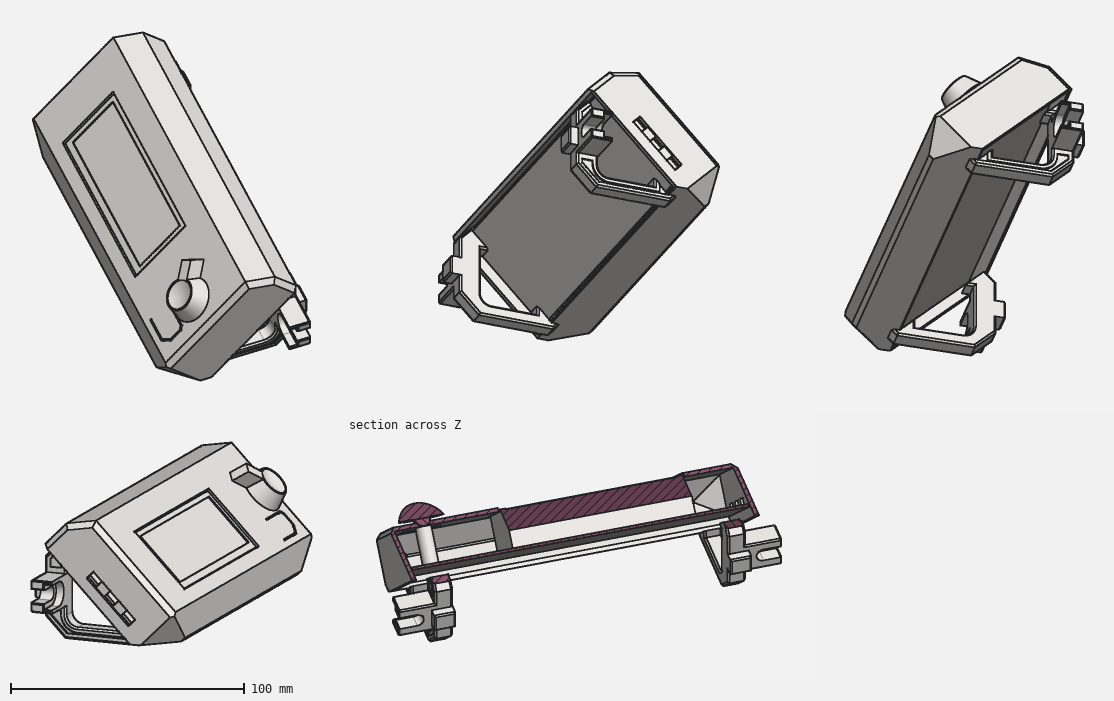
import cadquery as cq
import math

TILT = 45
ROOT2 = math.sqrt(2)

HOUSING_WIDTH = 155.1
FACE_W = 25.5
BACK_TOP_V = 56.8
SHOULDER_W = 14.0
CREST_V = 48.9
FRONT_REACH = 20.3
TOE_BEVEL = 1.9
WALL = 2.0
RIM_BEVEL_X = 2.2
RIM_BEVEL_DEPTH = 2.5
CORNER_START_V = -3.6
CORNER_CUT_X = 13.2
CORNER_CUT_V = 9.7

WINDOW_LEFT = -53.9
WINDOW_RIGHT = 28.7
WINDOW_BOTTOM_V = 3.5
WINDOW_TOP_V = 36.5
DISPLAY_SETBACK = 0.9
DISPLAY_CLEARANCE = 0.5
GLASS_BORDER_X = 3.0
GLASS_BOTTOM_BORDER = 4.0
GLASS_TOP_BORDER = 2.9
GLASS_DEPTH = 0.5

BOARD_WIDTH = 150.1
BOARD_BOTTOM_V = 2.5
BOARD_TOP_V = 53
BOARD_FRONT_W = 6.2
BOARD_THICKNESS = 1.5

CARD_LOW_V = 6.2
CARD_LENGTH = 27.4
CARD_LOW_W = 5.1
CARD_HEIGHT = 4.5
CARD_SETBACK = 0.9
CARD_PARTS = 5

TONGUE_LEFT = 52.0
TONGUE_RIGHT = 68.5
TONGUE_BOTTOM_V = 0
TONGUE_TOP_V = 12.3
TONGUE_LOW_BEVEL = 3.8
TONGUE_HIGH_BEVEL = 1.5
SLIT = 0.7

KNOB_X = 62.0
KNOB_V = 22.9
KNOB_GAP = 1.7
KNOB_HEIGHT = 7.9
KNOB_BASE_D = 20.0
KNOB_TOP_D = 14.4
DISH_D = 13.0
DISH_DEPTH = 1.4
POINTER_ANGLE = 135
POINTER_WIDTH = 5.1
POINTER_BASE_LENGTH = 18.0
POINTER_TOP_LENGTH = 15.4
ENCODER_D = 7.0

BRACKET_INNER_X = 61.4
BRACKET_WIDTH = 8.0
BRACKET_BACK_Y = 42.8
POST_DEPTH = 9.7
FOOT_Z = -2.5
FOOT_THICKNESS = 5.5
FOOT_BEVEL = 9.2
TOE_Y = -3.5
INNER_CORNER_R = 5.1
INNER_TOE_Y = 6.8
INNER_TOP_Z = 29.4
POST_TOP_Z = 33.0
BRACKET_BEVEL = 0.9
PANEL_BORDER = 2.4
PANEL_DEPTH = 0.7
TUCK = 5.1
ARM_TIP_X = 85.5
ARM_Z = 19.0
ARM_HEIGHT = 14.2
ARM_BEVEL = 0.7
TIP_BEVEL = 0.5
SLOT_WIDTH = 6.0
HEAD_SLOT_WIDTH = 11.0
HEAD_SLOT_DEPTH = 3.6
SLOT_END_X = 77.3
KEY_WIDTH = 9.4
KEY_HEIGHT = 8.4
KEY_END_Y = 47.0

HALF_WIDTH = HOUSING_WIDTH / 2
KNOB_BASE_W = FACE_W + KNOB_GAP
DISPLAY_FRONT_W = FACE_W - DISPLAY_SETBACK
BRACKET_OUTER_X = BRACKET_INNER_X + BRACKET_WIDTH
POST_FRONT_Y = BRACKET_BACK_Y - POST_DEPTH


def to_tilted(y, z):
    """Place of an upright (y, z) point in the (v, w) plane of the tilted frame."""
    return (y + z) / ROOT2, (z - y) / ROOT2


def stand_up(body):
    """Turn a body from the tilted frame to its upright place."""
    return body.rotate((0, 0, 0), (1, 0, 0), TILT)


def slab(x0, x1, v0, v1, w0, w1):
    """Rectangular block between the given limits."""
    return cq.Workplane("XY").box(x1 - x0, v1 - v0, w1 - w0, centered=False).translate((x0, v0, w0))


def housing_profile():
    """Closed side outline of the housing in the (v, w) plane."""
    return cq.Workplane("YZ").polyline([
        (0, 0),
        (BACK_TOP_V, 0),
        (BACK_TOP_V, SHOULDER_W),
        (CREST_V, FACE_W),
        (FACE_W - FRONT_REACH * ROOT2, FACE_W),
        to_tilted(-FRONT_REACH, TOE_BEVEL),
        to_tilted(TOE_BEVEL - FRONT_REACH, 0),
    ]).close()


def cut_corners(block, inset):
    """Cut both bottom corners along planes square to the sloping face, moved in by inset."""
    cut_length = math.hypot(CORNER_CUT_X, CORNER_CUT_V)
    shift_x = inset * CORNER_CUT_V / cut_length
    shift_v = inset * CORNER_CUT_X / cut_length
    x0 = HALF_WIDTH - shift_x
    v0 = CORNER_START_V + shift_v
    wedge = (
        cq.Workplane("XY")
        .polyline([
            (x0 + CORNER_CUT_X, v0 + CORNER_CUT_V),
            (x0 - 2 * CORNER_CUT_X, v0 - 2 * CORNER_CUT_V),
            (x0 + CORNER_CUT_X, v0 - 2 * CORNER_CUT_V),
        ])
        .close()
        .extrude(FACE_W)
    )
    return block.cut(wedge).cut(wedge.mirror("YZ"))


def rim_wedge(v, w, slope):
    """Bevel cutter for the right rim of the outer face through (v, w), tipped from the face by slope."""
    return (
        cq.Workplane("XZ")
        .polyline([
            (HALF_WIDTH, 0),
            (HALF_WIDTH - RIM_BEVEL_X, 0),
            (HALF_WIDTH, -RIM_BEVEL_DEPTH),
        ])
        .close()
        .extrude(2 * BACK_TOP_V, both=True)
        .rotate((0, 0, 0), (1, 0, 0), -slope)
        .translate((0, v, w))
    )


def outer_block():
    """Solid outside shape with bevelled side rims and cut bottom corners."""
    block = housing_profile().extrude(HALF_WIDTH, both=True)
    crest_slope = math.degrees(math.atan2(FACE_W - SHOULDER_W, BACK_TOP_V - CREST_V))
    rim_faces = [
        (CREST_V, FACE_W, 0),
        (CREST_V, FACE_W, crest_slope),
        (BACK_TOP_V, SHOULDER_W, 90),
    ]
    for v, w, slope in rim_faces:
        wedge = rim_wedge(v, w, slope)
        block = block.cut(wedge).cut(wedge.mirror("YZ"))
    return cut_corners(block, 0)


def cavity():
    """Inside space, one wall thickness in from the outside and open at the back."""
    space = housing_profile().offset2D(-WALL).extrude(HALF_WIDTH - WALL, both=True)
    back_opening = slab(
        WALL - HALF_WIDTH, HALF_WIDTH - WALL,
        WALL * (ROOT2 - 1), BACK_TOP_V - WALL,
        0, WALL,
    )
    return cut_corners(space, WALL).union(back_opening)


def window():
    """Display opening through the sloping face."""
    return slab(WINDOW_LEFT, WINDOW_RIGHT, WINDOW_BOTTOM_V, WINDOW_TOP_V, FACE_W - WALL, FACE_W)


def card_opening():
    """Shallow side recess with through openings between set-back ribs."""
    outside = -HALF_WIDTH
    top_w = CARD_LOW_W + CARD_HEIGHT
    part = CARD_LENGTH / CARD_PARTS
    cutter = slab(
        outside, outside + CARD_SETBACK,
        CARD_LOW_V, CARD_LOW_V + CARD_LENGTH,
        CARD_LOW_W, top_w,
    )
    for index in range(0, CARD_PARTS, 2):
        v0 = CARD_LOW_V + index * part
        cutter = cutter.union(slab(outside, outside + WALL, v0, v0 + part, CARD_LOW_W, top_w))
    return cutter


def tongue_area(inset):
    """Plate filling the tongue outline, moved in by inset on the three slit sides."""
    right = TONGUE_RIGHT - inset
    low = TONGUE_BOTTOM_V + inset
    high = TONGUE_TOP_V - inset
    return (
        cq.Workplane("XY")
        .workplane(offset=FACE_W - WALL)
        .polyline([
            (TONGUE_LEFT, low),
            (right - TONGUE_LOW_BEVEL, low),
            (right, low + TONGUE_LOW_BEVEL),
            (right, high - TONGUE_HIGH_BEVEL),
            (right - TONGUE_HIGH_BEVEL, high),
            (TONGUE_LEFT, high),
        ])
        .close()
        .extrude(WALL)
    )


def encoder_hole():
    """Round hole through the face for the encoder collar."""
    return (
        cq.Workplane("XY")
        .workplane(offset=FACE_W - WALL)
        .center(KNOB_X, KNOB_V)
        .circle(ENCODER_D / 2)
        .extrude(WALL)
    )


def make_housing():
    slit = tongue_area(0).cut(tongue_area(SLIT))
    shell = outer_block().cut(cavity()).cut(window()).cut(card_opening())
    return stand_up(shell.cut(slit).cut(encoder_hole()))


def make_board():
    return stand_up(slab(
        -BOARD_WIDTH / 2, BOARD_WIDTH / 2,
        BOARD_BOTTOM_V, BOARD_TOP_V,
        BOARD_FRONT_W - BOARD_THICKNESS, BOARD_FRONT_W,
    ))


def make_display():
    """Block from the board up into the window, with a sunken glass."""
    left = WINDOW_LEFT + DISPLAY_CLEARANCE
    right = WINDOW_RIGHT - DISPLAY_CLEARANCE
    bottom = WINDOW_BOTTOM_V + DISPLAY_CLEARANCE
    top = WINDOW_TOP_V - DISPLAY_CLEARANCE
    block = slab(left, right, bottom, top, BOARD_FRONT_W, DISPLAY_FRONT_W)
    glass = slab(
        WINDOW_LEFT + GLASS_BORDER_X, WINDOW_RIGHT - GLASS_BORDER_X,
        WINDOW_BOTTOM_V + GLASS_BOTTOM_BORDER, WINDOW_TOP_V - GLASS_TOP_BORDER,
        DISPLAY_FRONT_W - GLASS_DEPTH, DISPLAY_FRONT_W,
    )
    return stand_up(block.cut(glass))


def make_encoder():
    """Round collar from the board, through the face, up to the knob."""
    collar = (
        cq.Workplane("XY")
        .workplane(offset=BOARD_FRONT_W)
        .center(KNOB_X, KNOB_V)
        .circle(ENCODER_D / 2)
        .extrude(KNOB_BASE_W - BOARD_FRONT_W)
    )
    return stand_up(collar)


def make_knob():
    """Tapered knob with a dished top and a pointer that leans back at its tip."""
    dish_sphere_radius = ((DISH_D / 2) ** 2 + DISH_DEPTH ** 2) / (2 * DISH_DEPTH)
    cone = (
        cq.Workplane("XY")
        .circle(KNOB_BASE_D / 2)
        .workplane(offset=KNOB_HEIGHT)
        .circle(KNOB_TOP_D / 2)
        .loft()
    )
    pointer = (
        cq.Workplane("XZ")
        .polyline([(0, 0), (POINTER_BASE_LENGTH, 0), (POINTER_TOP_LENGTH, KNOB_HEIGHT), (0, KNOB_HEIGHT)])
        .close()
        .extrude(POINTER_WIDTH / 2, both=True)
        .rotate((0, 0, 0), (0, 0, 1), POINTER_ANGLE)
    )
    dish = (
        cq.Workplane("XY")
        .sphere(dish_sphere_radius)
        .rotate((0, 0, 0), (1, 0, 0), 90)
        .translate((0, 0, KNOB_HEIGHT - DISH_DEPTH + dish_sphere_radius))
    )
    knob = cone.union(pointer).cut(dish)
    return stand_up(knob.translate((KNOB_X, KNOB_V, KNOB_BASE_W)))


def frame_outline(x):
    """Closed C-shaped outline at the given x; both ends run on past the back of the housing."""
    foot_top = FOOT_Z + FOOT_THICKNESS
    arc_offset = INNER_CORNER_R * (1 - 1 / ROOT2)
    top_meeting = (BRACKET_BACK_Y + POST_TOP_Z) / 2
    return (
        cq.Workplane("YZ")
        .workplane(offset=x)
        .moveTo(TOE_Y - TUCK, TUCK)
        .lineTo(TOE_Y - FOOT_Z, FOOT_Z)
        .lineTo(BRACKET_BACK_Y - FOOT_BEVEL, FOOT_Z)
        .lineTo(BRACKET_BACK_Y, FOOT_Z + FOOT_BEVEL)
        .lineTo(BRACKET_BACK_Y, POST_TOP_Z)
        .lineTo(top_meeting - TUCK, top_meeting + TUCK)
        .lineTo(INNER_TOP_Z - TUCK, INNER_TOP_Z)
        .lineTo(POST_FRONT_Y, INNER_TOP_Z)
        .lineTo(POST_FRONT_Y, foot_top + INNER_CORNER_R)
        .threePointArc(
            (POST_FRONT_Y - arc_offset, foot_top + arc_offset),
            (POST_FRONT_Y - INNER_CORNER_R, foot_top),
        )
        .lineTo(INNER_TOE_Y, foot_top)
        .lineTo(INNER_TOE_Y, INNER_TOE_Y + TUCK)
        .close()
    )


def frame_panels():
    """Shallow recesses in the outer side of the frame, one border in from its edges and the arms."""
    reach = ARM_HEIGHT / 2 + PANEL_BORDER
    floor_x = BRACKET_OUTER_X - PANEL_DEPTH
    recess = frame_outline(floor_x).offset2D(-PANEL_BORDER, "intersection").extrude(PANEL_DEPTH)
    arm_root = slab(
        floor_x, BRACKET_OUTER_X,
        POST_FRONT_Y, BRACKET_BACK_Y,
        ARM_Z - reach, ARM_Z + reach,
    )
    return recess.cut(arm_root)


def housing_room():
    """Space above the flat bottom and the sloping back, where the housing sits."""
    far = 2 * BRACKET_BACK_Y
    return (
        cq.Workplane("YZ")
        .polyline([(0, 0), (far, far), (-far, far), (-far, 0)])
        .close()
        .extrude(BRACKET_OUTER_X)
    )


def bracket_frame():
    """C-shaped frame trimmed where it meets the housing."""
    frame = (
        frame_outline(BRACKET_INNER_X)
        .extrude(BRACKET_WIDTH)
        .faces("|X")
        .chamfer(BRACKET_BEVEL)
    )
    return frame.cut(frame_panels()).cut(housing_room())


def slot(width, depth):
    """Round-ended slot open toward the arm tips, cut back from the front of the post."""
    length = 2 * (ARM_TIP_X - SLOT_END_X) + width
    return (
        cq.Workplane("XZ")
        .workplane(offset=-POST_FRONT_Y)
        .center(ARM_TIP_X, ARM_Z)
        .slot2D(length, width)
        .extrude(-depth)
    )


def bracket_arms():
    """Block that reaches out sideways, split into two arms by the stepped slot."""
    return (
        slab(
            BRACKET_INNER_X + BRACKET_BEVEL, ARM_TIP_X,
            POST_FRONT_Y, BRACKET_BACK_Y,
            ARM_Z - ARM_HEIGHT / 2, ARM_Z + ARM_HEIGHT / 2,
        )
        .edges(">Y and |X")
        .chamfer(ARM_BEVEL)
        .cut(slot(SLOT_WIDTH, POST_DEPTH))
        .cut(slot(HEAD_SLOT_WIDTH, HEAD_SLOT_DEPTH))
        .faces(">X")
        .chamfer(TIP_BEVEL)
    )


def bracket_key():
    """Locating key on the back of the post."""
    return (
        slab(
            BRACKET_INNER_X, BRACKET_INNER_X + KEY_WIDTH,
            BRACKET_BACK_Y - BRACKET_BEVEL - ARM_BEVEL, KEY_END_Y,
            ARM_Z - KEY_HEIGHT / 2, ARM_Z + KEY_HEIGHT / 2,
        )
        .faces(">Y")
        .chamfer(ARM_BEVEL)
    )


def make_bracket(side):
    """Bracket on the right (side = 1) or the left (side = -1)."""
    bracket = bracket_frame().union(bracket_arms()).union(bracket_key())
    if side < 0:
        bracket = bracket.mirror("YZ")
    return bracket


housing = make_housing()
board = make_board()
display = make_display()
encoder = make_encoder()
knob = make_knob()
brackets = [make_bracket(side) for side in (-1, 1)]

result = cq.Compound.makeCompound([
    housing.val(),
    board.val(),
    display.val(),
    encoder.val(),
    knob.val(),
    *[bracket.val() for bracket in brackets],
])